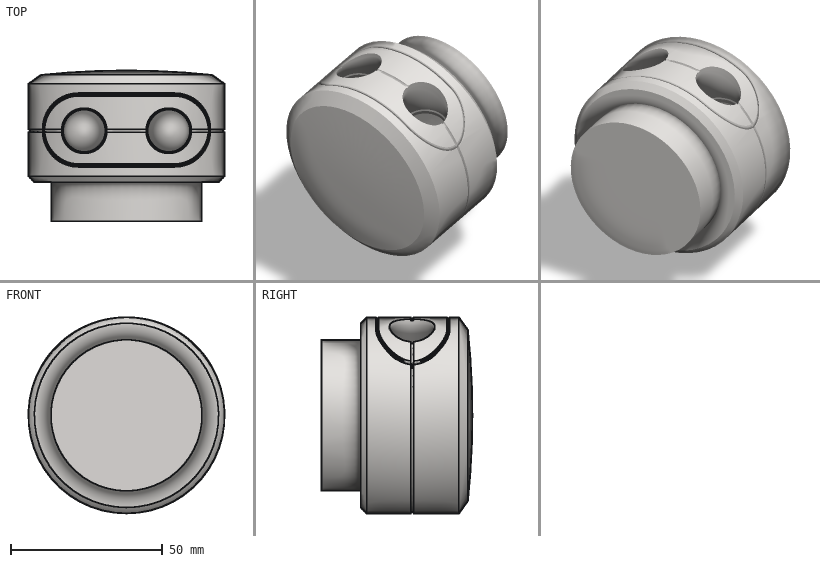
import cadquery as cq
import math


body_radius = 32.5
neck_radius = 25.0
neck_end_y = -30.0
shoulder_y = -17.0
front_chamfer = 2.0
rear_rim_y = 15.5
dome_edge_y = 18.5
dome_top_y = 20.0
dome_edge_radius = 28.3

ring_groove_radius = 0.5

track_mid_radius = 11.75
track_floor_width = 0.4
track_edge_chamfer = 0.3
track_depth = 0.75
track_center_x = 15.7
track_center_y = (rear_rim_y + shoulder_y + front_chamfer) / 2

button_spacing = 28.0
hole_radius = 7.5
hole_bottom_z = 14.0
bezel_top_z = 18.8
bezel_slope_drop = 0.25
button_radius = 7.0
button_rim_z = 17.4
button_cone_height = 1.8

button_positions = [(-button_spacing / 2, 0), (button_spacing / 2, 0)]


def housing_blank():
    """Solid of revolution: neck, shoulder, rim and domed rear face."""
    front_radius = body_radius - front_chamfer
    dome_rise = dome_top_y - dome_edge_y
    dome_radius = (dome_edge_radius**2 + dome_rise**2) / (2 * dome_rise)
    dome_mid_radius = dome_edge_radius / 2
    dome_mid_y = dome_top_y - dome_radius + math.sqrt(dome_radius**2 - dome_mid_radius**2)
    profile = (
        cq.Workplane("YZ")
        .moveTo(neck_end_y, 0)
        .lineTo(neck_end_y, -neck_radius)
        .lineTo(shoulder_y, -neck_radius)
        .lineTo(shoulder_y, -front_radius)
        .lineTo(shoulder_y + front_chamfer, -body_radius)
        .lineTo(rear_rim_y, -body_radius)
        .lineTo(dome_edge_y, -dome_edge_radius)
        .threePointArc((dome_mid_y, -dome_mid_radius), (dome_top_y, 0))
        .close()
    )
    return profile.revolve(360, (0, 0, 0), (1, 0, 0))


def racetrack(end_radius):
    """Upright racetrack prism from the housing axis to its top."""
    length = 2 * (track_center_x + end_radius)
    return (
        cq.Workplane("XY")
        .center(0, track_center_y)
        .slot2D(length, 2 * end_radius)
        .extrude(body_radius)
    )


def cut_racetrack_groove(body):
    """Groove of constant depth below the rim, with its upper edges chamfered."""
    half_floor = track_floor_width / 2
    wall = racetrack(track_mid_radius + half_floor).cut(racetrack(track_mid_radius - half_floor))
    floor = cq.Workplane("XZ").circle(body_radius - track_depth).extrude(body_radius, both=True)
    grooved = body.cut(wall.cut(floor))

    search_half_width = track_mid_radius + track_floor_width
    search_box = cq.selectors.BoxSelector(
        (-body_radius, track_center_y - search_half_width, 0),
        (body_radius, track_center_y + search_half_width, 2 * body_radius),
    )

    def on_rim(edge):
        middle = edge.positionAt(0.5)
        return math.hypot(middle.x, middle.z) > body_radius - track_depth / 2

    upper_edges = grooved.edges(search_box).filter(on_rim)
    return upper_edges.chamfer(track_edge_chamfer)


def cut_ring_groove(body):
    torus = cq.Solid.makeTorus(body_radius, ring_groove_radius, cq.Vector(0, 0, 0), cq.Vector(0, 1, 0))
    return body.cut(cq.Workplane(torus))


def cut_button_holes(body):
    holes = (
        cq.Workplane("XY", origin=(0, 0, hole_bottom_z))
        .pushPoints(button_positions)
        .circle(hole_radius)
        .extrude(body_radius)
    )
    return body.cut(holes)


def bezel(x, y):
    """Sleeve lining the lower part of a hole; its top slopes down towards the button."""
    profile = (
        cq.Workplane("XZ")
        .moveTo(button_radius, hole_bottom_z)
        .lineTo(hole_radius, hole_bottom_z)
        .lineTo(hole_radius, bezel_top_z)
        .lineTo(button_radius, bezel_top_z - bezel_slope_drop)
        .close()
    )
    return profile.revolve(360, (0, 0, 0), (0, 1, 0)).translate((x, y, 0))


def button(x, y):
    """Round button with a shallow conical top, sliding in its bezel."""
    profile = (
        cq.Workplane("XZ")
        .moveTo(0, hole_bottom_z)
        .lineTo(button_radius, hole_bottom_z)
        .lineTo(button_radius, button_rim_z)
        .lineTo(0, button_rim_z + button_cone_height)
        .close()
    )
    return profile.revolve(360, (0, 0, 0), (0, 1, 0)).translate((x, y, 0))


housing = cut_button_holes(cut_ring_groove(cut_racetrack_groove(housing_blank())))

bezels = []
buttons = []
for x, y in button_positions:
    bezels.append(bezel(x, y).val())
    buttons.append(button(x, y).val())

result = cq.Compound.makeCompound([housing.val(), *bezels, *buttons])